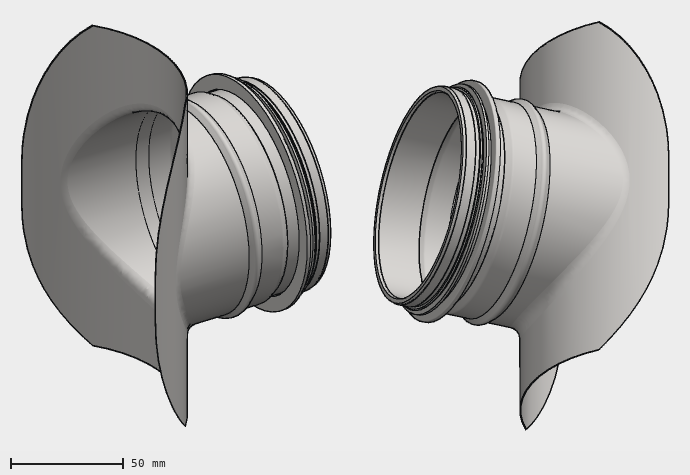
import cadquery as cq
import math

SHEET = 0.5

SADDLE_LENGTH = 166.0
SADDLE_WIDTH = 116.0
SADDLE_RADIUS = 61.6
ROOT_FILLET = 4.8
FLAT_HALF_LENGTH = 11.6
CORNER_RISE = 25.9

TUBE_RADIUS = 98.1 / 2
NECK_RADIUS = 94.3 / 2
RIM_RADIUS = 99.1 / 2
BEAD_RADIUS = 102.5 / 2
BEAD_SHOULDER_RADIUS = 50.6

TOTAL_HEIGHT = 95.8
RIM_DEPTH = 6.0
RIM_CHAMFER = 0.5
RIM_CHAMFER_DEPTH = 1.5
GASKET_END = 15.6
NECK_END = 21.0
SHOULDER_END = 24.4
SHOULDER_ROUND = 2.0
BEAD_START = 35.5
BEAD_CREST_START = 37.5
BEAD_CREST_END = 40.2
BEAD_END = 42.2

GASKET_BORE_RADIUS = 95.5 / 2
LIP_RADIUS = 50.6
LIP_TOP = 8.0
LIP_DEPTH = 8.6
LIP_THICKNESS = 1.0
LIP_BEVEL = 0.5
THIN_FIN_RADIUS = 104.4 / 2
THIN_FIN_TOP = 10.0
THIN_FIN_BOTTOM = 11.1
WIDE_FIN_RADIUS = 109.4 / 2
WIDE_FIN_TOP = 13.6
WIDE_FIN_ROUND = 0.5

SADDLE_EDGE_Y = math.sqrt(SADDLE_RADIUS**2 - (SADDLE_WIDTH / 2) ** 2)
TUBE_END_Y = SADDLE_EDGE_Y + TOTAL_HEIGHT


def level(depth):
    """Y position at a distance below the open end of the branch."""
    return TUBE_END_Y - depth


def revolve_about_branch(points):
    """Solid of revolution about the Y axis from (radius, y) points."""
    return cq.Workplane("XY").polyline(points).close().revolve(360, (0, 0), (0, 1))


def ring_edges(body, radius, depth):
    """Circular edges of a given radius at a given depth below the open end."""
    def matches(edge):
        return (
            edge.geomType() == "CIRCLE"
            and abs(edge.radius() - radius) < 0.02
            and abs(edge.Center().y - level(depth)) < 0.02
        )
    return body.newObject([edge for edge in body.edges().vals() if matches(edge)])


def tee(inset):
    """Solid duct with a solid stepped branch and a filleted root, set in from the outer faces."""
    duct = cq.Workplane("XY").circle(SADDLE_RADIUS - inset).extrude(SADDLE_LENGTH / 2, both=True)
    branch = revolve_about_branch([
        (0, 0),
        (TUBE_RADIUS - inset, 0),
        (TUBE_RADIUS - inset, level(SHOULDER_END)),
        (NECK_RADIUS - inset, level(NECK_END)),
        (NECK_RADIUS - inset, TUBE_END_Y),
        (0, TUBE_END_Y),
    ])
    branch = ring_edges(branch, TUBE_RADIUS - inset, SHOULDER_END).fillet(SHOULDER_ROUND)
    body = duct.union(branch)
    root = body.edges(cq.selectors.BoxSelector(
        (-SADDLE_RADIUS, 1.7, -SADDLE_RADIUS),
        (SADDLE_RADIUS, SADDLE_RADIUS + 1.7, SADDLE_RADIUS),
    )).edges("not %LINE")
    return root.fillet(ROOT_FILLET + inset)


def saddle_outline():
    """Prism along X that trims the duct to the saddle's curved side edges."""
    half_length = SADDLE_LENGTH / 2
    run = half_length - FLAT_HALF_LENGTH
    arc_radius = (run**2 + CORNER_RISE**2) / (2 * CORNER_RISE)
    mid_angle = math.asin(run / arc_radius) / 2
    mid_z = FLAT_HALF_LENGTH + arc_radius * math.sin(mid_angle)
    mid_y = SADDLE_EDGE_Y + arc_radius * (1 - math.cos(mid_angle))
    corner_y = SADDLE_EDGE_Y + CORNER_RISE
    return (
        cq.Workplane("YZ")
        .moveTo(SADDLE_EDGE_Y, -FLAT_HALF_LENGTH)
        .lineTo(SADDLE_EDGE_Y, FLAT_HALF_LENGTH)
        .threePointArc((mid_y, mid_z), (corner_y, half_length))
        .lineTo(TUBE_END_Y, half_length)
        .lineTo(TUBE_END_Y, -half_length)
        .lineTo(corner_y, -half_length)
        .threePointArc((mid_y, -mid_z), (SADDLE_EDGE_Y, -FLAT_HALF_LENGTH))
        .close()
        .extrude(SADDLE_WIDTH, both=True)
    )


def end_rim():
    """Open end folded outward and back over the gasket sleeve, leaving a slot for the sleeve."""
    root = NECK_RADIUS - SHEET / 2
    return revolve_about_branch([
        (root, TUBE_END_Y),
        (RIM_RADIUS - RIM_CHAMFER, TUBE_END_Y),
        (RIM_RADIUS, level(RIM_CHAMFER_DEPTH)),
        (RIM_RADIUS, level(RIM_DEPTH)),
        (TUBE_RADIUS, level(RIM_DEPTH)),
        (TUBE_RADIUS, level(RIM_CHAMFER_DEPTH)),
        (root, level(RIM_CHAMFER_DEPTH)),
    ])


def mouth_bevel():
    """Cone that bevels the bore at the open end."""
    bore_radius = NECK_RADIUS - SHEET
    return revolve_about_branch([
        (0, TUBE_END_Y),
        (bore_radius + RIM_CHAMFER, TUBE_END_Y),
        (bore_radius, level(RIM_CHAMFER_DEPTH)),
        (0, level(RIM_CHAMFER_DEPTH)),
    ])


def stop_bead():
    """Raised bead around the tube with sloping flanks and a rounded crest."""
    root = TUBE_RADIUS - SHEET / 2
    crest_middle = (BEAD_CREST_START + BEAD_CREST_END) / 2
    return (
        cq.Workplane("XY")
        .moveTo(root, level(BEAD_START))
        .lineTo(TUBE_RADIUS, level(BEAD_START))
        .lineTo(BEAD_SHOULDER_RADIUS, level(BEAD_CREST_START))
        .threePointArc((BEAD_RADIUS, level(crest_middle)), (BEAD_SHOULDER_RADIUS, level(BEAD_CREST_END)))
        .lineTo(TUBE_RADIUS, level(BEAD_END))
        .lineTo(root, level(BEAD_END))
        .close()
        .revolve(360, (0, 0), (0, 1))
    )


def make_saddle_branch():
    shell = tee(0).cut(tee(SHEET)).intersect(saddle_outline())
    return shell.union(end_rim()).union(stop_bead()).cut(mouth_bevel())


def make_gasket():
    """Loose sleeve around the neck, held in the folded rim, with a small lip and two sealing fins."""
    gasket = revolve_about_branch([
        (GASKET_BORE_RADIUS, level(RIM_CHAMFER_DEPTH)),
        (TUBE_RADIUS, level(RIM_CHAMFER_DEPTH)),
        (TUBE_RADIUS, level(LIP_TOP)),
        (LIP_RADIUS - LIP_BEVEL, level(LIP_TOP)),
        (LIP_RADIUS, level(LIP_DEPTH)),
        (LIP_RADIUS - LIP_BEVEL, level(LIP_TOP + LIP_THICKNESS)),
        (TUBE_RADIUS, level(LIP_TOP + LIP_THICKNESS)),
        (TUBE_RADIUS, level(THIN_FIN_TOP)),
        (THIN_FIN_RADIUS, level(THIN_FIN_TOP)),
        (THIN_FIN_RADIUS, level(THIN_FIN_BOTTOM)),
        (TUBE_RADIUS, level(THIN_FIN_BOTTOM)),
        (TUBE_RADIUS, level(WIDE_FIN_TOP)),
        (WIDE_FIN_RADIUS, level(WIDE_FIN_TOP)),
        (WIDE_FIN_RADIUS, level(GASKET_END)),
        (GASKET_BORE_RADIUS, level(GASKET_END)),
    ])
    return ring_edges(gasket, WIDE_FIN_RADIUS, WIDE_FIN_TOP).fillet(WIDE_FIN_ROUND)


saddle_branch = make_saddle_branch()
gasket = make_gasket()
result = cq.Compound.makeCompound([*saddle_branch.solids().vals(), gasket.val()])